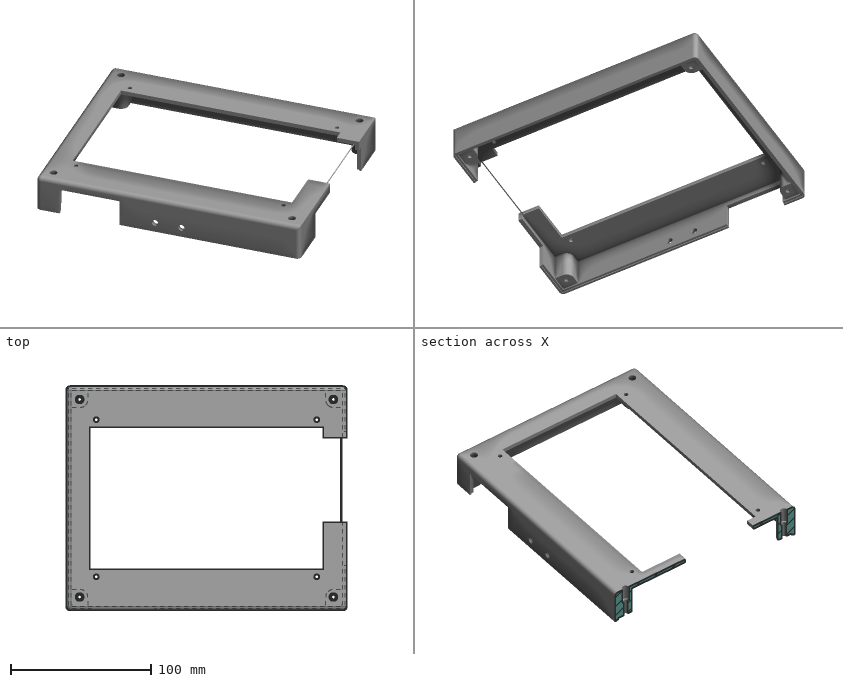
import cadquery as cq

LENGTH = 200.0
WIDTH = 160.0
HEIGHT = 27.0
WALL = 3.2
EDGE_RADIUS = 3.2
PLATE_BOTTOM = HEIGHT - WALL

WINDOW_LENGTH = 166.5
WINDOW_WIDTH = 101.0

SCREW_INSET = 9.5
SCREW_SPACING_X = LENGTH - 2 * SCREW_INSET
SCREW_SPACING_Y = WIDTH - 2 * SCREW_INSET
POST_CLEARANCE = 2.0
POST_DIAMETER = 11.2
SCREW_DIAMETER = 3.2
SCREW_HEAD_DIAMETER = 5.5
SCREW_HEAD_DEPTH = 12.0

REBATE_DEPTH = 0.8
REBATE_WIDTH = 1.5

MOUNT_DIAMETER = 3.2
MOUNT_SPACING_X = 157.2
MOUNT_SPACING_Y = 112.0

SLOT_START = 17.5
SLOT_LENGTH = 45.5
OPENING_HEIGHT = 19.8
FRONT_HOLE_DIAMETER = 4.8
FRONT_HOLE_SPACING = 20.0
FRONT_HOLE_HEIGHT = 7.5

GAP_START = 63.0
GAP_END = 123.0
SIDE_OPENING_WIDTH = 95.2

STRIP_WIDTH = 0.8
STRIP_HEIGHT = 0.2
STRIP_WALL_OFFSET = 1.2
STRIP_INNER_X = LENGTH - WALL - STRIP_WALL_OFFSET
STRIP_OVERLAP = 2.0


def block(x_range, y_range, z_range):
    """Box spanning the given (low, high) ranges."""
    lows = [x_range[0], y_range[0], z_range[0]]
    sizes = [high - low for low, high in (x_range, y_range, z_range)]
    return cq.Workplane("XY").box(*sizes, centered=False).translate(tuple(lows))


def at_four_corners(spacing_x, spacing_y):
    """Workplane at the bottom with one point at each corner of a centred rectangle."""
    plane = cq.Workplane("XY", origin=(LENGTH / 2, WIDTH / 2, 0))
    return plane.rect(spacing_x, spacing_y, forConstruction=True).vertices()


def outer_body():
    """Solid body; the top edge stays sharp along the right side only."""
    overhang = 2 * EDGE_RADIUS
    body = block((0, LENGTH + overhang), (0, WIDTH), (0, HEIGHT))
    body = body.edges("(|Z and <X) or (>Z and (<X or <Y or >Y))").fillet(EDGE_RADIUS)
    plan = block((0, LENGTH), (0, WIDTH), (0, HEIGHT)).edges("|Z and >X").fillet(EDGE_RADIUS)
    return body.intersect(plan)


def corner_posts():
    """Round screw posts, widened into the corner so that they join both walls."""
    centres = at_four_corners(SCREW_SPACING_X, SCREW_SPACING_Y)
    posts = centres.circle(POST_DIAMETER / 2).extrude(HEIGHT)
    side_webs = at_four_corners(LENGTH - SCREW_INSET, SCREW_SPACING_Y)
    side_webs = side_webs.rect(SCREW_INSET, POST_DIAMETER).extrude(HEIGHT)
    end_webs = at_four_corners(SCREW_SPACING_X, WIDTH - SCREW_INSET)
    end_webs = end_webs.rect(POST_DIAMETER, SCREW_INSET).extrude(HEIGHT)
    clearance = block((0, LENGTH), (0, WIDTH), (0, POST_CLEARANCE))
    return posts.union(side_webs).union(end_webs).cut(clearance)


def hollow_shell():
    """Body hollowed from below around the posts, with the rebate cut at the bottom."""
    body = outer_body()
    cavity = block((WALL, LENGTH - WALL), (WALL, WIDTH - WALL), (0, PLATE_BOTTOM))
    inset = WALL - REBATE_WIDTH
    rebate = block((inset, LENGTH - inset), (inset, WIDTH - inset), (0, REBATE_DEPTH))
    return body.cut(cavity.cut(corner_posts())).cut(rebate)


def window():
    return (
        cq.Workplane("XY", origin=(LENGTH / 2, WIDTH / 2, PLATE_BOTTOM))
        .rect(WINDOW_LENGTH, WINDOW_WIDTH)
        .extrude(WALL)
    )


def screw_holes():
    """Through holes with deep counterbores for the screw heads."""
    centres = at_four_corners(SCREW_SPACING_X, SCREW_SPACING_Y)
    shanks = centres.circle(SCREW_DIAMETER / 2).extrude(HEIGHT)
    heads = centres.circle(SCREW_HEAD_DIAMETER / 2).extrude(SCREW_HEAD_DEPTH)
    return shanks.union(heads.translate((0, 0, HEIGHT - SCREW_HEAD_DEPTH)))


def mount_holes():
    return at_four_corners(MOUNT_SPACING_X, MOUNT_SPACING_Y).circle(MOUNT_DIAMETER / 2).extrude(HEIGHT)


def front_openings():
    """Slot open at the bottom, and a pair of round holes centred along the front wall."""
    slot = block((SLOT_START, SLOT_START + SLOT_LENGTH), (0, WALL), (0, OPENING_HEIGHT))
    holes = (
        cq.Workplane("XZ", origin=(LENGTH / 2, 0, FRONT_HOLE_HEIGHT))
        .pushPoints([(-FRONT_HOLE_SPACING / 2, 0), (FRONT_HOLE_SPACING / 2, 0)])
        .circle(FRONT_HOLE_DIAMETER / 2)
        .extrude(-WALL)
    )
    return slot.union(holes)


def side_openings():
    """Gap from the window out through the right wall, plus the low opening in that wall."""
    window_edge = (LENGTH + WINDOW_LENGTH) / 2
    gap = block((window_edge, LENGTH), (GAP_START, GAP_END), (0, HEIGHT))
    side_start = (WIDTH - SIDE_OPENING_WIDTH) / 2
    side_range = (side_start, side_start + SIDE_OPENING_WIDTH)
    opening = block((LENGTH - WALL, LENGTH), side_range, (0, OPENING_HEIGHT))
    return gap.union(opening)


def gap_strip():
    """Thin strip level with the underside of the plate."""
    return block(
        (STRIP_INNER_X, STRIP_INNER_X + STRIP_WIDTH),
        (GAP_START - STRIP_OVERLAP, GAP_END + STRIP_OVERLAP),
        (PLATE_BOTTOM, PLATE_BOTTOM + STRIP_HEIGHT),
    )


result = hollow_shell()
for opening in (window(), screw_holes(), mount_holes(), front_openings(), side_openings()):
    result = result.cut(opening)
result = result.union(gap_strip())